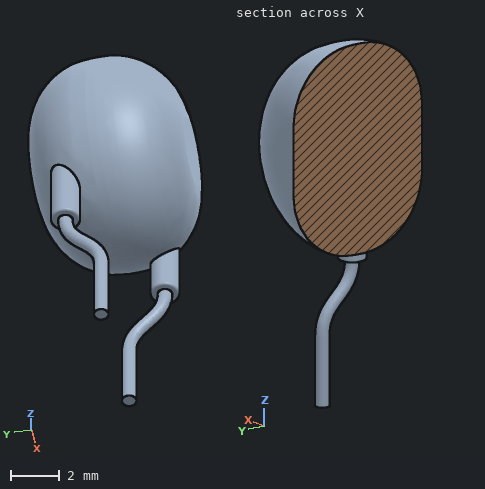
import cadquery as cq

total_height = 16.0
body_diameter = 9.0
body_thickness = 6.5
rim_width = 0.4

lead_spacing = 5.0
lead_stagger = 3.0
lead_diameter = 0.6
boot_diameter = 1.2
boot_edge_radius = 0.1

body_radius = body_diameter / 2
boot_bottom = -5.5
bend_bottom = -8.5
lead_tip = body_radius - total_height
boot_top = -2.0


def make_body():
    """Disc with its axis along Y and both rims rounded."""
    rounding = (body_thickness - rim_width) / 2
    back_face = cq.Workplane("XZ", origin=(0, body_thickness / 2, 0))
    disc = back_face.circle(body_radius).extrude(body_thickness)
    return disc.edges("%CIRCLE").fillet(rounding)


def make_boot(x, y):
    """Coating sleeve that runs from inside the body down to the lead exit."""
    return (
        cq.Workplane("XY", origin=(x, y, boot_bottom))
        .circle(boot_diameter / 2)
        .extrude(boot_top - boot_bottom)
        .faces("<Z")
        .edges()
        .fillet(boot_edge_radius)
    )


def make_lead(x, y):
    """Round wire: straight inside the boot, an S-bend to Y = 0, then straight to the tip."""
    path = (
        cq.Workplane("YZ", origin=(x, 0, 0))
        .moveTo(y, boot_top)
        .lineTo(y, boot_bottom)
        .spline([(0, bend_bottom)], tangents=[(0, -1), (0, -1)], includeCurrent=True)
        .lineTo(0, lead_tip)
    )
    return cq.Workplane("XY", origin=(x, y, boot_top)).circle(lead_diameter / 2).sweep(path)


result = make_body()
for side in (-1, 1):
    lead_x = side * lead_spacing / 2
    exit_y = -side * lead_stagger / 2
    result = result.union(make_boot(lead_x, exit_y)).union(make_lead(lead_x, exit_y))